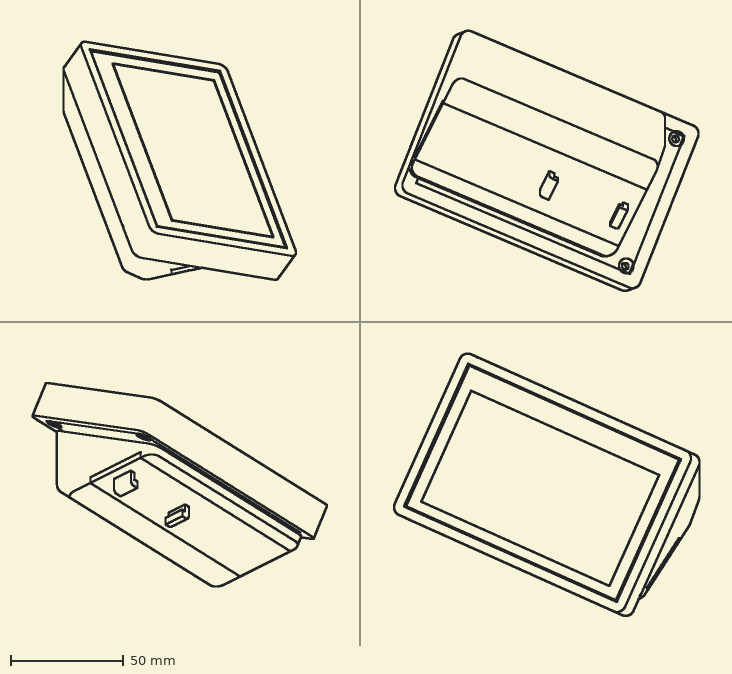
import cadquery as cq
import math

tilt = 30.0
tilt_sin = math.sin(math.radians(tilt))
tilt_cos = math.cos(math.radians(tilt))

frame_width = 116.4
frame_length = 78.5
frame_thickness = 16.1
frame_corner_radius = 4.0
frame_wall = 4.4
ledge_height = 2.3
ledge_width = 1.4
floor_thickness = 0.3
frame_back_height = 38.3

access_diameter = 6.6
access_x = 49.5
access_spacing = 61.6
access_front_distance = 8.5

side_gap = 0.8
end_gap = 0.5
display_recess = 0.3
screw_hole_diameter = 3.0
screw_hole_depth = 5.8
screen_width = 95.0
screen_length = 54.1
screen_offset = 2.7
screen_recess = 0.3
screen_thickness = 2.0

base_width = 100.0
base_left = -frame_width / 2
base_front = 59.0
back_chamfer = 7.5
back_edge_radius = 5.0
base_back_side_radius = 3.5
base_front_side_radius = 4.7

strip_width = 30.0
strip_height = 3.0
strip_center_y = 37.0
hook_width = 10.0
hook_drop = 7.2
hook_stem = 2.5
hook_reach = 4.3
hook_toe_height = 3.6
hook_radius = 2.0
left_hook_x = -1.5
right_hook_x = 37.1

display_width = frame_width - 2 * (frame_wall + side_gap)
display_length = frame_length - 2 * (frame_wall + end_gap)
display_top = frame_thickness - display_recess
screen_center = frame_length / 2 + screen_offset
screen_seat = display_top - screen_recess - screen_thickness
front_access = frame_length - access_front_distance
access_points = [(access_x, front_access - access_spacing), (access_x, front_access)]


def tilted_plane(height):
    """Plane parallel to the frame underside, with local Y running down the slope."""
    origin = (0, height * tilt_sin, frame_back_height + height * tilt_cos)
    return cq.Workplane(cq.Plane(origin=origin, xDir=(1, 0, 0), normal=(0, tilt_sin, tilt_cos)))


def tilted_block(width, length, center, bottom, top):
    """Block lying on the slope, between two heights above the frame underside."""
    return tilted_plane(bottom).center(0, center).rect(width, length).extrude(top - bottom)


def tilted_holes(diameter, bottom, top):
    """Cutters for holes on the screw axes."""
    return tilted_plane(bottom).pushPoints(access_points).circle(diameter / 2).extrude(top - bottom)


def centered_block(margin, bottom, top):
    """Tilted block that stays a margin inside the frame outline on every side."""
    width = frame_width - 2 * margin
    length = frame_length - 2 * margin
    return tilted_block(width, length, frame_length / 2, bottom, top)


def make_frame():
    outline = centered_block(0, 0, frame_thickness)
    across_thickness = cq.selectors.ParallelDirSelector(cq.Vector(0, tilt_sin, tilt_cos))
    tray = outline.edges(across_thickness).fillet(frame_corner_radius)
    opening = centered_block(frame_wall, ledge_height, frame_thickness)
    well = centered_block(frame_wall + ledge_width, floor_thickness, ledge_height)
    access_holes = tilted_holes(access_diameter, 0, floor_thickness)
    return tray.cut(opening).cut(well).cut(access_holes)


def make_screen():
    screen_top = screen_seat + screen_thickness
    return tilted_block(screen_width, screen_length, screen_center, screen_seat, screen_top)


def make_display():
    body = tilted_block(display_width, display_length, frame_length / 2, ledge_height, display_top)
    window = tilted_block(screen_width, screen_length, screen_center, screen_seat, display_top)
    screw_holes = tilted_holes(screw_hole_diameter, ledge_height, ledge_height + screw_hole_depth)
    return body.cut(window).cut(screw_holes)


def make_strip():
    strip_center_x = base_left + base_width / 2
    strip = cq.Workplane("XY").center(strip_center_x, strip_center_y)
    return strip.rect(base_width, strip_width).extrude(strip_height)


def make_base():
    slope_tan = tilt_sin / tilt_cos
    front_top_z = (frame_back_height - base_front * slope_tan) / (1 + slope_tan ** 2)
    front_top_y = base_front + front_top_z * slope_tan
    profile = [
        (0, frame_back_height),
        (0, back_chamfer),
        (back_chamfer, 0),
        (base_front, 0),
        (front_top_y, front_top_z),
    ]
    side = cq.Workplane("YZ", origin=(base_left, 0, 0))
    base = side.polyline(profile).close().extrude(base_width)

    back_edge = cq.selectors.NearestToPointSelector((base_left + base_width / 2, 0, back_chamfer))
    base = base.edges(back_edge).fillet(back_edge_radius)

    for x in (base_left, base_left + base_width):
        back_side = cq.selectors.NearestToPointSelector((x, 0, frame_back_height / 2))
        base = base.edges(back_side).fillet(base_back_side_radius)
        front_middle = (x, (base_front + front_top_y) / 2, front_top_z / 2)
        front_side = cq.selectors.NearestToPointSelector(front_middle)
        base = base.edges(front_side).fillet(base_front_side_radius)
    return base.cut(make_strip())


def make_hook(outer_x, inward):
    """Hook hanging below the strip, its toe pointing along X in the inward direction (+1 or -1)."""
    stem_x = outer_x + inward * hook_stem
    toe_x = outer_x + inward * hook_reach
    toe_z = hook_toe_height - hook_drop
    arc_inset = hook_radius * (1 - math.sqrt(0.5))
    back = cq.Workplane("XZ", origin=(0, strip_center_y + hook_width / 2, 0))
    outline = (
        back.moveTo(outer_x, 0)
        .lineTo(stem_x, 0)
        .lineTo(stem_x, toe_z)
        .lineTo(toe_x, toe_z)
        .lineTo(toe_x, -hook_drop)
        .lineTo(outer_x + inward * hook_radius, -hook_drop)
        .threePointArc(
            (outer_x + inward * arc_inset, arc_inset - hook_drop),
            (outer_x, hook_radius - hook_drop),
        )
        .close()
    )
    return outline.extrude(hook_width)


def make_rail_clip():
    clip = make_strip()
    for outer_x, inward in ((left_hook_x, 1), (right_hook_x, -1)):
        clip = clip.union(make_hook(outer_x, inward))
    return clip


frame = make_frame()
display = make_display()
screen = make_screen()
base = make_base()
rail_clip = make_rail_clip()

result = cq.Compound.makeCompound(
    [frame.val(), display.val(), screen.val(), base.val(), rail_clip.val()]
)